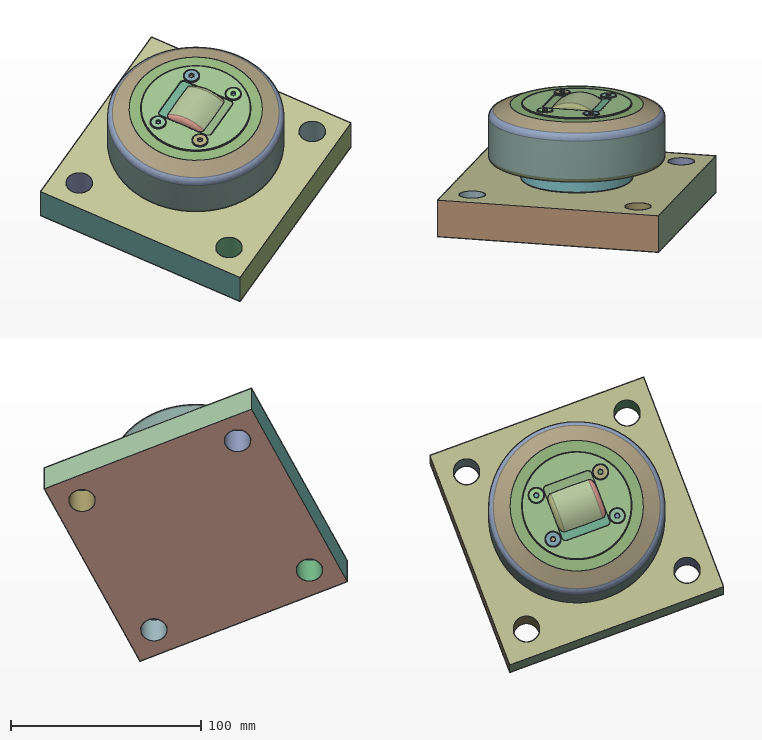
import cadquery as cq
import math

plate_side = 120.0
plate_thickness = 20.0
mount_hole_diameter = 13.84
mount_hole_spacing = 90.0

neck_diameter = 59.0
neck_chamfer = 0.5

body_diameter = 93.0
body_bottom = 30.3
body_bottom_fillet = 2.0
body_top = 60.3
body_flat_diameter = 70.0
cone_angle = 21.0
shoulder_fillet = 4.0

crown_radius = 500.0

cap_diameter = 58.0
cap_top = 61.0
cap_chamfer = 0.4

window_length = 31.3
window_width = 26.7
window_corner_radius = 2.0
window_floor = body_top
roller_top = 64.0
roller_radius = 18.5
roller_width = window_width
roller_edge_fillet = 2.8

screw_spacing_x = 25.1
screw_spacing_y = 36.0
screw_head_diameter = 7.8
screw_head_top = cap_top + 0.3
screw_recess_diameter = 8.5
screw_recess_depth = 0.5
socket_across_flats = 2.5
socket_depth = 1.5


def crown_drop(half_width):
    """Fall of the crowned surface at a distance from its middle."""
    return crown_radius - math.sqrt(crown_radius**2 - half_width**2)


def plane_at(height):
    return cq.Workplane("XY").workplane(offset=height)


def make_plate():
    return (
        cq.Workplane("XY")
        .box(plate_side, plate_side, plate_thickness, centered=(True, True, False))
        .faces(">Z")
        .workplane()
        .rect(mount_hole_spacing, mount_hole_spacing, forConstruction=True)
        .vertices()
        .hole(mount_hole_diameter)
    )


def make_neck():
    neck = plane_at(plate_thickness).circle(neck_diameter / 2).extrude(body_bottom - plate_thickness)
    return neck.faces("<Z").chamfer(neck_chamfer)


def make_body():
    body_radius = body_diameter / 2
    flat_radius = body_flat_diameter / 2
    rim_top = body_top - (body_radius - flat_radius) * math.tan(math.radians(cone_angle))
    rim_middle = (body_bottom + rim_top) / 2
    rim_radius = body_radius - crown_drop(rim_top - rim_middle)
    body = (
        cq.Workplane("XZ")
        .moveTo(0, body_bottom)
        .lineTo(rim_radius, body_bottom)
        .threePointArc((body_radius, rim_middle), (rim_radius, rim_top))
        .lineTo(flat_radius, body_top)
        .lineTo(0, body_top)
        .close()
        .revolve(360, (0, 0, 0), (0, 1, 0))
    )
    body = body.faces("%CONE").edges("<Z").fillet(shoulder_fillet)
    return body.faces("<Z").edges().fillet(body_bottom_fillet)


def make_cap():
    cap = plane_at(body_top).circle(cap_diameter / 2).extrude(cap_top - body_top)
    return cap.faces(">Z").chamfer(cap_chamfer)


def make_window():
    window = plane_at(window_floor).rect(window_length, window_width).extrude(roller_top - window_floor)
    return window.edges("|Z").fillet(window_corner_radius)


def make_roller():
    """Part of the side roller, turned about an axis along Y, above the window floor."""
    half_width = roller_width / 2
    axis_height = roller_top - roller_radius
    end_height = roller_top - crown_drop(half_width)
    roller = (
        cq.Workplane("YZ")
        .moveTo(-half_width, axis_height)
        .lineTo(-half_width, end_height)
        .threePointArc((0, roller_top), (half_width, end_height))
        .lineTo(half_width, axis_height)
        .close()
        .revolve(360, (0, axis_height, 0), (1, axis_height, 0))
        .edges("%CIRCLE")
        .fillet(roller_edge_fillet)
    )
    above_floor = plane_at(window_floor).rect(window_length, window_width).extrude(roller_top - window_floor)
    return roller.intersect(above_floor)


def screw_positions(height):
    return plane_at(height).rect(screw_spacing_x, screw_spacing_y, forConstruction=True).vertices()


def make_screw_recesses():
    return screw_positions(cap_top).circle(screw_recess_diameter / 2).extrude(-screw_recess_depth)


def make_screw_heads():
    head_height = screw_head_top - cap_top + screw_recess_depth
    across_corners = socket_across_flats / math.cos(math.pi / 6)
    heads = screw_positions(screw_head_top).circle(screw_head_diameter / 2).extrude(-head_height)
    sockets = screw_positions(screw_head_top).polygon(6, across_corners).extrude(-socket_depth)
    return heads, sockets


screw_heads, screw_sockets = make_screw_heads()
result = (
    make_plate()
    .union(make_neck())
    .union(make_body())
    .union(make_cap())
    .cut(make_window())
    .union(make_roller())
    .cut(make_screw_recesses())
    .union(screw_heads)
    .cut(screw_sockets)
)